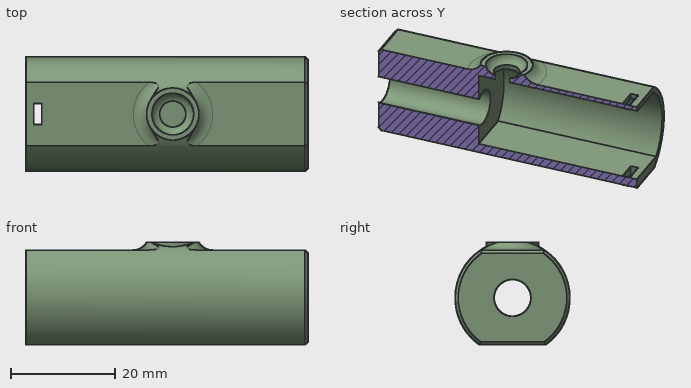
import cadquery as cq
import math

length = 54.0
outer_radius = 11.0
inner_radius = 10.0
top_flat_z = 9.16
bottom_flat_z = -9.0
top_wall = 1.0
bottom_wall = 2.0
bore_depth = 33.0
end_hole_diameter = 7.0
end_chamfer = 0.6

slot_start = 1.5
slot_length = 1.5
slot_width = 4.0

boss_x = 28.1
boss_diameter = 10.0
boss_height = 1.5
boss_top_z = top_flat_z + boss_height
boss_fillet_radius = 3.0
boss_hole_diameter = 5.0
dish_diameter = 8.0
dish_depth = 1.5
dish_arc_radius = 2.0


def flatted_cylinder(radius, low_z, high_z, start_x, end_x):
    """Cylinder along X with a flat at the bottom and at the top."""
    low_y = math.sqrt(radius**2 - low_z**2)
    high_y = math.sqrt(radius**2 - high_z**2)
    return (
        cq.Workplane("YZ", origin=(start_x, 0, 0))
        .moveTo(-low_y, low_z)
        .lineTo(low_y, low_z)
        .threePointArc((radius, 0), (high_y, high_z))
        .lineTo(-high_y, high_z)
        .threePointArc((-radius, 0), (-low_y, low_z))
        .close()
        .extrude(end_x - start_x)
    )


def make_shell():
    """Solid body with its +X end chamfered."""
    body = flatted_cylinder(outer_radius, bottom_flat_z, top_flat_z, 0, length)
    return body.faces(">X").chamfer(end_chamfer)


def make_bore():
    """Blind bore from the open end and the round hole on through the solid end."""
    bore = flatted_cylinder(
        inner_radius,
        bottom_flat_z + bottom_wall,
        top_flat_z - top_wall,
        0,
        bore_depth,
    )
    end_hole = cq.Workplane("YZ").circle(end_hole_diameter / 2).extrude(length)
    return bore.union(end_hole)


def make_boss_cylinder():
    """Plain round boss, rooted in the top wall."""
    base_z = top_flat_z - top_wall
    return (
        cq.Workplane("XY", origin=(boss_x, 0, base_z))
        .circle(boss_diameter / 2)
        .extrude(boss_top_z - base_z)
    )


def make_boss_flare():
    """Concave flare tangent to the top flat, trimmed to the tube's full round."""
    top_radius = boss_diameter / 2
    base_z = top_flat_z - top_wall
    arc_centre_z = top_flat_z + boss_fillet_radius
    run = math.sqrt(boss_fillet_radius**2 - (arc_centre_z - boss_top_z) ** 2)
    foot_radius = top_radius + run
    half_angle = math.asin(run / boss_fillet_radius) / 2
    arc_middle = (
        foot_radius - boss_fillet_radius * math.sin(half_angle),
        arc_centre_z - boss_fillet_radius * math.cos(half_angle),
    )
    flare = (
        cq.Workplane("XZ", origin=(boss_x, 0, 0))
        .moveTo(0, base_z)
        .lineTo(foot_radius, base_z)
        .lineTo(foot_radius, top_flat_z)
        .threePointArc(arc_middle, (top_radius, boss_top_z))
        .lineTo(0, boss_top_z)
        .close()
        .revolve(360, (0, 0, 0), (0, 1, 0))
    )
    full_round = cq.Workplane("YZ").circle(outer_radius).extrude(length)
    return flare.intersect(full_round)


def make_boss_opening():
    """Concave dish in the boss with a round hole on into the bore."""
    rim_radius = dish_diameter / 2
    floor_radius = boss_hole_diameter / 2
    floor_z = boss_top_z - dish_depth
    half_chord = math.hypot(rim_radius - floor_radius, dish_depth) / 2
    arc_sag = dish_arc_radius - math.sqrt(dish_arc_radius**2 - half_chord**2)
    chord_angle = math.atan2(dish_depth, rim_radius - floor_radius)
    arc_middle = (
        (rim_radius + floor_radius) / 2 + arc_sag * math.sin(chord_angle),
        (boss_top_z + floor_z) / 2 - arc_sag * math.cos(chord_angle),
    )
    dish = (
        cq.Workplane("XZ", origin=(boss_x, 0, 0))
        .moveTo(0, floor_z)
        .lineTo(floor_radius, floor_z)
        .threePointArc(arc_middle, (rim_radius, boss_top_z))
        .lineTo(0, boss_top_z)
        .close()
        .revolve(360, (0, 0, 0), (0, 1, 0))
    )
    hole = (
        cq.Workplane("XY", origin=(boss_x, 0, 0))
        .circle(floor_radius)
        .extrude(boss_top_z)
    )
    return dish.union(hole)


def make_slots():
    """One cutter that opens a slot in the top flat and the bottom flat."""
    return (
        cq.Workplane("XY", origin=(slot_start + slot_length / 2, 0, bottom_flat_z))
        .rect(slot_length, slot_width)
        .extrude(top_flat_z - bottom_flat_z)
    )


result = (
    make_shell()
    .union(make_boss_flare())
    .union(make_boss_cylinder())
    .cut(make_bore())
    .cut(make_boss_opening())
    .cut(make_slots())
)